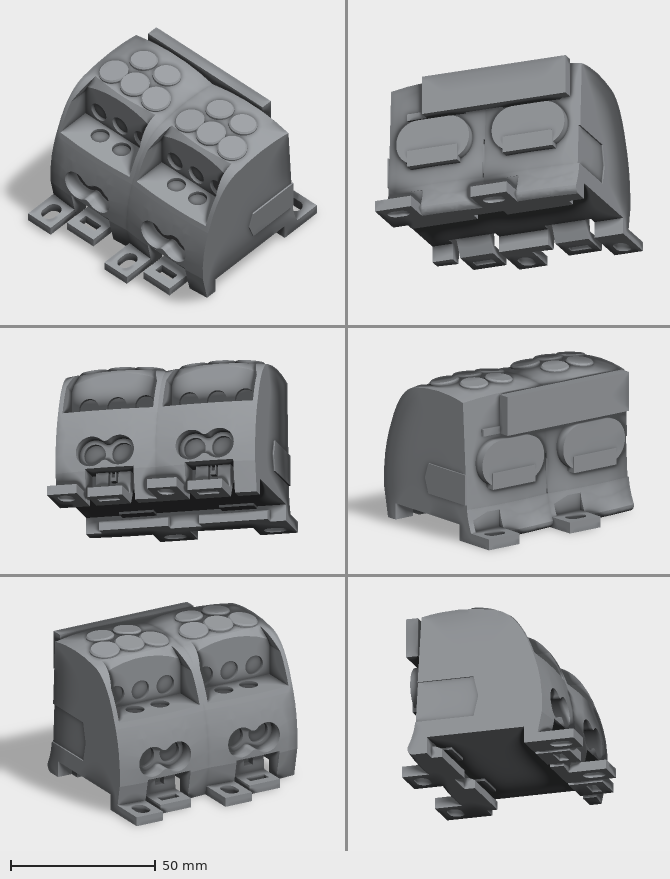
import cadquery as cq
import math

LENGTH = 72.05
KEY_HEIGHT = 0.6
WIDTH = (LENGTH - KEY_HEIGHT) / 2
MID_X = WIDTH / 2
DEPTH = 70.0
HOUSING_COUNT = 2

SIDE_TOP = 51.15
FRONT_TOP = 31.1
SWELL = 1.5
ROOF_SWELL = 1.4
SHELL_MID_Y = 35.3
SHELL_HALF_DEPTH = 33.0

CHANNEL_FRONT = 17.95
CHANNEL_REAR = 53.5
CHANNEL_TOP = 5.85
HOOK_REACH = 3.7
HOOK_TIP_HEIGHT = 2.9
HOOK_MID_HEIGHT = 3.8
HOOK_ROOT_HEIGHT = 4.2
HOOK_INSET = 5.55
LIP_REACH = 4.75
LIP_THICKNESS = 0.9

FRONT_FOOT_WIDTH = 10.6
FRONT_FOOT_HEIGHT = 3.3
FRONT_FOOT_END = 14.4
FRONT_SLOT_Y = 6.1
REAR_FOOT_WIDTH = 13.5
REAR_FOOT_HEIGHT = 3.9
REAR_FOOT_START = 56.2
REAR_SLOT_X = 29.05
REAR_SLOT_Y = 64.7
REAR_RELIEF_WIDTH = 11.5
REAR_RELIEF_Y = 58.7
REAR_RELIEF_TOP = 10.1
SLOT_LENGTH = 7.9
SLOT_WIDTH = 5.3

BAY_LEFT = 10.7
BAY_RIGHT = 28.1
BAY_TOP = 11.45
BAY_REAR = 21.3
LATCH_LEFT = 13.05
LATCH_RIGHT = 25.35
LATCH_FRONT = 5.8
LATCH_WALL_Y = 16.5
LATCH_WALL_TOP_Y = 17.3
LATCH_FOOT_HEIGHT = 3.3
LATCH_WINDOW_WIDTH = 7.35
LATCH_WINDOW_FRONT = 9.15
LATCH_WINDOW_DEPTH = 3.45
NOTCH_WIDTH = 3.6
NOTCH_BOTTOM = 5.7
NOTCH_DEPTH = 2.5
POST_WIDTH = 1.95
POST_BOTTOM = 8.15
POST_GROOVE_WIDTH = 1.2
POST_GROOVE_BOTTOM = 9.5

POCKET_FLOOR = 33.15
POCKET_BACK = 27.7
POCKET_INSET = 1.65
POCKET_BEND_Z = 43.95
POCKET_RIM_INSET = 3.95
POCKET_RIM_Z = 50.8
BROW_SIDE_INSET = 2.4
BROW_DEPTH = 2.9
BROW_SIDE_Z = 46.4
BROW_MID_Z = 49.85
BROW_SIDE_RISE = 3.9
BROW_MID_RISE = 2.6

HOLE_PITCH = 10.0
WALL_HOLE_RADIUS = 3.5
WALL_HOLE_Z = 37.7
FLOOR_HOLE_RADIUS = 3.3
FLOOR_HOLE_Y = 22.9
HOLE_DEPTH = 1.45

ENTRY_Z = 17.65
ENTRY_RADIUS = 5.4
ENTRY_NECK_HALF_HEIGHT = 3.45
ENTRY_FLOOR_Y = 16.5
ENTRY_BORE_RADIUS = 3.9
ENTRY_BORE_DEPTH = 1.7

CAP_THICKNESS = 2.9
CAP_CHAMFER = 0.5
CROWN_RADIUS = 93.7
REAR_CAPS = dict(y=45.9, top=53.45, tilt=-3.8, radius=5.0, x_places=(12.3, 23.3))
FRONT_CAPS = dict(y=35.1, top=53.25, tilt=7.3, radius=5.25,
                  x_places=(MID_X - HOLE_PITCH, MID_X, MID_X + HOLE_PITCH))

COVER_LEFT = 4.25
COVER_RIGHT = 31.5
COVER_BOTTOM = 19.1
COVER_TOP = 35.4
COVER_CORNER = 7.9
COVER_REAR = 61.0
COVER_LUG_BOTTOM = 18.45
COVER_LUG_TOP = 24.3
COVER_LUG_REAR = 61.6
COVER_LUG_WIDTH = 18.7
COVER_START = 54.75

RECESS_BOTTOM = 11.8
RECESS_TOP = 26.2
RECESS_SHOULDER_Y = 36.45
RECESS_TIP_Y = 34.7
KEY_BOTTOM = 13.5
KEY_TOP = 24.3
KEY_TIP_Y = 34.95
KEY_SHOULDER_Y = 36.9
KEY_REAR = 57.4

BAR_LEFT = 3.3
BAR_LENGTH = 53.75
BAR_FRONT = 57.9
BAR_THICKNESS = 4.25
BAR_BOTTOM = 36.95
BAR_HEIGHT = 13.9
LEDGE_HEIGHT = 2.5
LEDGE_WIDTH = 21.6


def block(x0, x1, y0, y1, z0, z1):
    """Box given by its limits on each axis."""
    return cq.Workplane("XY").box(x1 - x0, y1 - y0, z1 - z0, centered=False).translate((x0, y0, z0))


def side_prism(points, x0, x1):
    """Prism along X with a polygon of (Y, Z) points."""
    return cq.Workplane("YZ").workplane(offset=x0).polyline(points).close().extrude(x1 - x0)


def shell_section(x, share):
    """Side outline at the given X, enlarged by a share of the full swell."""
    depth_ratio = (SHELL_HALF_DEPTH + share * SWELL) / SHELL_HALF_DEPTH

    def at(y, z):
        rise = share * ROOF_SWELL * max(0, z - FRONT_TOP) / (SIDE_TOP - FRONT_TOP)
        return cq.Vector(x, SHELL_MID_Y + (y - SHELL_MID_Y) * depth_ratio, z + rise)

    front_base, front_bend, front_brow = at(13.7, 0), at(11.5, 10.65), at(14.2, FRONT_TOP)
    roof_front, roof_rear = at(28.9, 49.7), at(55.5, 49.8)
    rear_bend, flare_tip, rear_base = at(57.7, 11.8), at(60.7, 2.6), at(58.95, 0)
    edges = [
        cq.Edge.makeLine(front_base, front_bend),
        cq.Edge.makeThreePointArc(front_bend, at(11.6, 18.9), front_brow),
        cq.Edge.makeSpline([front_brow, at(18.9, 41.7), at(24.2, 47.7), roof_front]),
        cq.Edge.makeThreePointArc(roof_front, at(41.8, SIDE_TOP), roof_rear),
        cq.Edge.makeLine(roof_rear, rear_bend),
        cq.Edge.makeThreePointArc(rear_bend, at(58.8, 7.0), flare_tip),
        cq.Edge.makeThreePointArc(flare_tip, at(60.3, 1.1), rear_base),
        cq.Edge.makeLine(rear_base, front_base),
    ]
    return cq.Wire.assembleEdges(edges)


def shell():
    sections = [shell_section(0, 0), shell_section(MID_X, 1), shell_section(WIDTH, 0)]
    return cq.Workplane(cq.Solid.makeLoft(sections))


def rail_channel():
    return block(0, WIDTH, CHANNEL_FRONT, CHANNEL_REAR, 0, CHANNEL_TOP)


def rail_hook():
    """Hook and lip on the rear wall of the rail channel."""
    tip = CHANNEL_REAR - HOOK_REACH
    hook = (
        cq.Workplane("YZ").workplane(offset=HOOK_INSET)
        .moveTo(CHANNEL_REAR, 0)
        .lineTo(tip, 0)
        .lineTo(tip, HOOK_TIP_HEIGHT)
        .threePointArc((tip + HOOK_REACH / 2, HOOK_MID_HEIGHT), (CHANNEL_REAR, HOOK_ROOT_HEIGHT))
        .close()
        .extrude(WIDTH - 2 * HOOK_INSET)
    )
    lip = block(LATCH_LEFT, LATCH_RIGHT, CHANNEL_REAR - LIP_REACH, CHANNEL_REAR,
                CHANNEL_TOP - LIP_THICKNESS, CHANNEL_TOP)
    return hook.union(lip)


def foot_slot(x, y, angle, height):
    return cq.Workplane("XY").center(x, y).slot2D(SLOT_LENGTH, SLOT_WIDTH, angle).extrude(height)


def front_foot():
    foot = block(0, FRONT_FOOT_WIDTH, 0, FRONT_FOOT_END, 0, FRONT_FOOT_HEIGHT)
    return foot.cut(foot_slot(FRONT_FOOT_WIDTH / 2, FRONT_SLOT_Y, 90, FRONT_FOOT_HEIGHT))


def rear_foot():
    foot = block(WIDTH - REAR_FOOT_WIDTH, WIDTH, REAR_FOOT_START, DEPTH, 0, REAR_FOOT_HEIGHT)
    return foot.cut(foot_slot(REAR_SLOT_X, REAR_SLOT_Y, 0, REAR_FOOT_HEIGHT))


def rear_relief():
    left = WIDTH - REAR_FOOT_WIDTH
    return block(left, left + REAR_RELIEF_WIDTH, REAR_RELIEF_Y, DEPTH, REAR_FOOT_HEIGHT, REAR_RELIEF_TOP)


def latch_bay():
    return block(BAY_LEFT, BAY_RIGHT, 0, BAY_REAR, 0, BAY_TOP)


def latch():
    """Rail latch: a windowed foot, an upright wall with a notch, and a sloped nose."""
    mid = (LATCH_LEFT + LATCH_RIGHT) / 2
    outline = [
        (LATCH_FRONT, 0),
        (LATCH_FRONT, LATCH_FOOT_HEIGHT),
        (LATCH_WALL_Y, LATCH_FOOT_HEIGHT),
        (LATCH_WALL_TOP_Y, BAY_TOP),
        (BAY_REAR, BAY_TOP),
        (BAY_REAR, CHANNEL_TOP),
        (CHANNEL_FRONT, 0),
    ]
    window = block(mid - LATCH_WINDOW_WIDTH / 2, mid + LATCH_WINDOW_WIDTH / 2,
                   LATCH_WINDOW_FRONT, LATCH_WINDOW_FRONT + LATCH_WINDOW_DEPTH, 0, LATCH_FOOT_HEIGHT)
    notch_end = LATCH_WALL_TOP_Y + NOTCH_DEPTH
    notch = block(mid - NOTCH_WIDTH / 2, mid + NOTCH_WIDTH / 2,
                  LATCH_WALL_Y, notch_end, NOTCH_BOTTOM, BAY_TOP)
    post = block(mid - POST_WIDTH / 2, mid + POST_WIDTH / 2, LATCH_WALL_Y, notch_end, POST_BOTTOM, BAY_TOP)
    groove = block(mid - POST_GROOVE_WIDTH / 2, mid + POST_GROOVE_WIDTH / 2,
                   LATCH_WALL_Y, notch_end, POST_GROOVE_BOTTOM, BAY_TOP)
    body = side_prism(outline, LATCH_LEFT, LATCH_RIGHT).cut(window)
    grooved_post = post.intersect(body).cut(groove)
    return body.cut(notch).union(grooved_post)


def pocket(back):
    """Opening at the upper front, up to the given Y, whose side walls lean inwards near the roof."""
    lean = (POCKET_RIM_INSET - POCKET_INSET) / (POCKET_RIM_Z - POCKET_BEND_Z)
    top = SIDE_TOP + 2 * ROOF_SWELL
    top_inset = POCKET_INSET + lean * (top - POCKET_BEND_Z)
    outline = [
        (POCKET_INSET, POCKET_FLOOR),
        (WIDTH - POCKET_INSET, POCKET_FLOOR),
        (WIDTH - POCKET_INSET, POCKET_BEND_Z),
        (WIDTH - top_inset, top),
        (top_inset, top),
        (POCKET_INSET, POCKET_BEND_Z),
    ]
    return cq.Workplane("XZ").polyline(outline).close().extrude(-back)


def brow_section(y, side_z, mid_z):
    """Area above an arch across the pocket opening."""
    left = BROW_SIDE_INSET
    right = WIDTH - BROW_SIDE_INSET
    top = SIDE_TOP + 2 * ROOF_SWELL
    corners = [cq.Vector(left, y, side_z), cq.Vector(right, y, side_z),
               cq.Vector(right, y, top), cq.Vector(left, y, top)]
    edges = [
        cq.Edge.makeThreePointArc(corners[0], cq.Vector(MID_X, y, mid_z), corners[1]),
        cq.Edge.makeLine(corners[1], corners[2]),
        cq.Edge.makeLine(corners[2], corners[3]),
        cq.Edge.makeLine(corners[3], corners[0]),
    ]
    return cq.Wire.assembleEdges(edges)


def brow():
    rear = POCKET_BACK + BROW_DEPTH
    sections = [
        brow_section(POCKET_BACK, BROW_SIDE_Z, BROW_MID_Z),
        brow_section(rear, BROW_SIDE_Z + BROW_SIDE_RISE, BROW_MID_Z + BROW_MID_RISE),
    ]
    slope = cq.Workplane(cq.Solid.makeLoft(sections, True))
    return slope.intersect(pocket(rear))


def terminal_holes():
    """Three blind holes in the pocket back wall and two in its floor."""
    wall_places = [(MID_X + step * HOLE_PITCH, WALL_HOLE_Z) for step in (-1, 0, 1)]
    floor_places = [(MID_X + step * HOLE_PITCH, FLOOR_HOLE_Y) for step in (-0.5, 0.5)]
    wall_holes = (
        cq.Workplane("XZ", origin=(0, POCKET_BACK, 0))
        .pushPoints(wall_places).circle(WALL_HOLE_RADIUS).extrude(-HOLE_DEPTH)
    )
    floor_holes = (
        cq.Workplane("XY", origin=(0, 0, POCKET_FLOOR))
        .pushPoints(floor_places).circle(FLOOR_HOLE_RADIUS).extrude(-HOLE_DEPTH)
    )
    return wall_holes.union(floor_holes)


def cable_entry():
    """Two round entries joined by a waisted neck, with a bore at the end of each."""
    half_pitch = HOLE_PITCH / 2
    neck_radius = ((half_pitch ** 2 + ENTRY_NECK_HALF_HEIGHT ** 2 - ENTRY_RADIUS ** 2)
                   / (2 * (ENTRY_RADIUS - ENTRY_NECK_HALF_HEIGHT)))
    neck_z = ENTRY_NECK_HALF_HEIGHT + neck_radius
    share = ENTRY_RADIUS / (ENTRY_RADIUS + neck_radius)
    touch_x = half_pitch * (1 - share)
    touch_z = neck_z * share
    outer_x = half_pitch + ENTRY_RADIUS
    recess = (
        cq.Workplane("XZ", origin=(MID_X, 0, ENTRY_Z))
        .moveTo(-touch_x, touch_z)
        .threePointArc((0, ENTRY_NECK_HALF_HEIGHT), (touch_x, touch_z))
        .threePointArc((outer_x, 0), (touch_x, -touch_z))
        .threePointArc((0, -ENTRY_NECK_HALF_HEIGHT), (-touch_x, -touch_z))
        .threePointArc((-outer_x, 0), (-touch_x, touch_z))
        .close()
        .extrude(-ENTRY_FLOOR_Y)
    )
    bores = (
        cq.Workplane("XZ", origin=(MID_X, ENTRY_FLOOR_Y, ENTRY_Z))
        .pushPoints([(-half_pitch, 0), (half_pitch, 0)])
        .circle(ENTRY_BORE_RADIUS).extrude(-ENTRY_BORE_DEPTH)
    )
    return recess.union(bores)


def screw_cap(x, y, top, tilt, radius):
    """Chamfered round cap that follows the crown of the roof."""
    offset = x - MID_X
    lean = math.degrees(math.asin(offset / CROWN_RADIUS))
    drop = CROWN_RADIUS - math.sqrt(CROWN_RADIUS ** 2 - offset ** 2)
    cap = cq.Workplane("XY").circle(radius).extrude(-CAP_THICKNESS)
    return (
        cap.faces(">Z").chamfer(CAP_CHAMFER)
        .rotate((0, 0, 0), (1, 0, 0), tilt)
        .rotate((0, 0, 0), (0, 1, 0), lean)
        .translate((x, y, top - drop))
    )


def cap_row(y, top, tilt, radius, x_places):
    return [screw_cap(x, y, top, tilt, radius) for x in x_places]


def rear_cover():
    cover = block(COVER_LEFT, COVER_RIGHT, COVER_START, COVER_REAR, COVER_BOTTOM, COVER_TOP)
    cover = cover.edges("|Y").fillet(COVER_CORNER)
    mid = (COVER_LEFT + COVER_RIGHT) / 2
    lug = block(mid - COVER_LUG_WIDTH / 2, mid + COVER_LUG_WIDTH / 2, COVER_START, COVER_LUG_REAR,
                COVER_LUG_BOTTOM, COVER_LUG_TOP)
    return cover.union(lug)


def bar_ledge():
    return block(MID_X - LEDGE_WIDTH / 2, MID_X + LEDGE_WIDTH / 2, COVER_START, BAR_FRONT,
                 BAR_BOTTOM, BAR_BOTTOM + LEDGE_HEIGHT)


def arrow_outline(bottom, top, tip_y, shoulder_y, rear_y):
    """Five-sided (Y, Z) outline with its point towards the front."""
    return [(rear_y, bottom), (shoulder_y, bottom), (tip_y, (bottom + top) / 2),
            (shoulder_y, top), (rear_y, top)]


def side_recess():
    outline = arrow_outline(RECESS_BOTTOM, RECESS_TOP, RECESS_TIP_Y, RECESS_SHOULDER_Y, DEPTH)
    return side_prism(outline, 0, KEY_HEIGHT)


def side_key():
    outline = arrow_outline(KEY_BOTTOM, KEY_TOP, KEY_TIP_Y, KEY_SHOULDER_Y, KEY_REAR)
    return side_prism(outline, WIDTH, WIDTH + KEY_HEIGHT)


def housing():
    body = shell().cut(rail_channel()).cut(latch_bay()).cut(pocket(POCKET_BACK)).cut(brow())
    body = body.cut(terminal_holes()).cut(cable_entry()).cut(side_recess()).cut(rear_relief())
    for cap in cap_row(**REAR_CAPS) + cap_row(**FRONT_CAPS):
        body = body.union(cap)
    for feature in (rail_hook(), latch(), front_foot(), rear_foot(), rear_cover(), bar_ledge(), side_key()):
        body = body.union(feature)
    return body


def marking_bar():
    return block(BAR_LEFT, BAR_LEFT + BAR_LENGTH, BAR_FRONT, BAR_FRONT + BAR_THICKNESS,
                 BAR_BOTTOM, BAR_BOTTOM + BAR_HEIGHT)


first_housing = housing()
housings = [first_housing.translate((index * WIDTH, 0, 0)) for index in range(HOUSING_COUNT)]
bar = marking_bar()

result = cq.Compound.makeCompound([*[body.val() for body in housings], bar.val()])